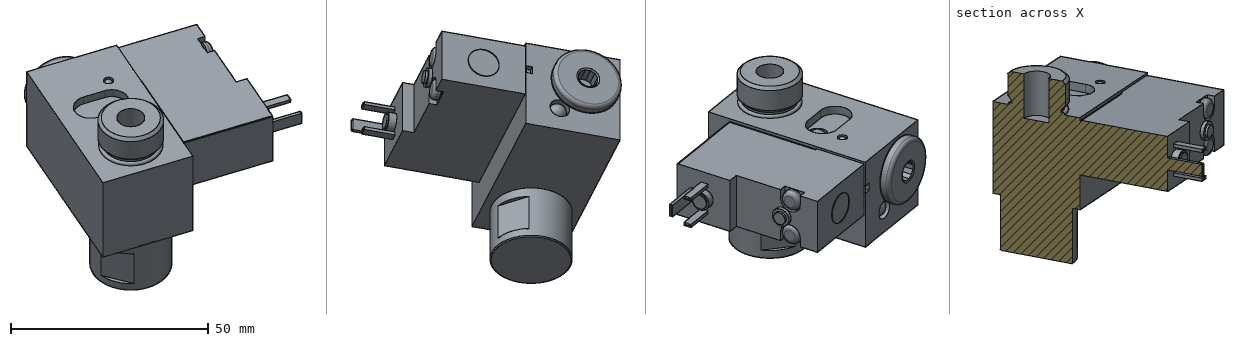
import cadquery as cq
import math

BLOCK_X, BLOCK_Y, BLOCK_Z = 47.0, 25.0, 25.0

PORT_X = 36.5
PORT_Y = BLOCK_Y / 2

FITTING_HEIGHT = 9.05
FITTING_DIA = 16.66
FITTING_TOP_DIA = 14.95
FITTING_TOP_CHAMFER_Z = 0.8
FITTING_TAPER_TOP = 2.4
FITTING_TAPER_BOTTOM = 1.1
FITTING_EMBED = 1.0
NECK_DIA = 14.2
BORE_DIA = 7.0
BORE_DEPTH = 12.0

RING_DIA = 16.35
RING_TUBE_DIA = 1.3

CAP_DIA = 20.85
CAP_HEIGHT = 15.05
CAP_CHAMFER = 0.3
FLAT_ACROSS = 18.85
FLAT_HEIGHT = 10.0
FLAT_BELOW_BLOCK = 2.6
FLAT_ANGLE = 45.0

PLUG_Y, PLUG_Z = 9.35, -9.6
PLUG_DIA = 18.0
PLUG_LENGTH = 3.0
PLUG_FILLET = 1.0
PLUG_NECK_DIA = 17.6
PLUG_NECK_LENGTH = 0.2
SOCKET_SIDES = 12
SOCKET_ACROSS_FLATS = 5.0
SOCKET_DEPTH = 4.5
SOCKET_MOUTH_DIA, SOCKET_MOUTH_DEPTH = 6.0, 0.25

SLOT_X, SLOT_Y = 19.1, 12.1
SLOT_WIDTH, SLOT_LENGTH, SLOT_DEPTH = 8.6, 14.5, 2.3
BALL_DIA = 5.0
BALL_HOLE_DIA = 5.1
SLOT_BALL_X, BALL_Y = 20.0, 16.0
SIDE_BALL_Z = -18.4
BALL_SEAT_DEPTH = 1.65
SMALL_BALL_X, SMALL_BALL_Y = 11.58, 17.55
SMALL_BALL_DIA = 2.45
SMALL_HOLE_DIA = 2.49
SMALL_SEAT_DEPTH = 1.2

VENT_Y, VENT_WIDTH, VENT_HEIGHT, VENT_DEPTH = 24.05, 1.6, 2.1, 1.5

COIL_LEFT, COIL_RIGHT = 0.4, 40.65
COIL_TOP, COIL_HEIGHT = -0.6, 15.0
COIL_MID_Z = COIL_TOP - COIL_HEIGHT / 2
COIL_LOW_Y, COIL_HIGH_Y = 47.1, 50.1
COIL_STEP_X = 24.7
RIM_WIDTH, RIM_FRONT_WIDTH, RIM_DEPTH = 0.25, 0.4, 0.2
RIM_FRONT_X = 14.7
DISC_DIA, DISC_Y, DISC_DEPTH = 8.15, 36.0, 0.2

SCREW_X, SCREW_OFFSET_Z = 8.5, 4.95
SCREW_HEAD_DIA, SCREW_CHAMFER = 5.4, 0.4
SCREW_TOP_DIA = 3.15
SCREW_HEAD_HEIGHT, SCREW_RIM_HEIGHT = 2.35, 1.1
POCKET_WIDTH, POCKET_DEPTH = 5.9, 2.05

STUD_X, STUD_DIA, STUD_HEIGHT = 10.8, 4.95, 1.0
STUD_TIP_DIA, STUD_TIP_HEIGHT = 3.4, 0.65

CONTACT_X = 32.3
BOSS_DIA, BOSS_HEIGHT = 5.1, 2.05
BOSS_TIP_DIA, BOSS_TIP_HEIGHT = 4.1, 0.4
CONTACT_WIDTH, CONTACT_THICK, CONTACT_LENGTH = 2.1, 0.9, 8.4
CONTACT_OFFSET_Z = 3.9
EARTH_X = 36.1
EARTH_WIDTH, EARTH_LENGTH = 3.4, 10.1
TIP_CHAMFER = 0.25


def box(x0, x1, y0, y1, z0, z1):
    """Axis-aligned box between two opposite corners."""
    return cq.Workplane("XY").box(x1 - x0, y1 - y0, z1 - z0, centered=False).translate((x0, y0, z0))


def rod_y(dia, length, x, y, z):
    """Round bar starting at (x, y, z) and running towards +Y."""
    return cq.Workplane(cq.Solid.makeCylinder(dia / 2, length, cq.Vector(x, y, z), cq.Vector(0, 1, 0)))


def rod_x(dia, length, x, y, z):
    """Round bar starting at (x, y, z) and running towards +X."""
    return cq.Workplane(cq.Solid.makeCylinder(dia / 2, length, cq.Vector(x, y, z), cq.Vector(1, 0, 0)))


def rod_down(dia, length, x, y, z):
    """Round bar starting at (x, y, z) and running towards -Z."""
    return cq.Workplane(cq.Solid.makeCylinder(dia / 2, length, cq.Vector(x, y, z), cq.Vector(0, 0, -1)))


def ball(dia, x, y, z):
    """Sphere centred on (x, y, z)."""
    return cq.Workplane("XY").sphere(dia / 2).translate((x, y, z))


def make_block():
    """Plain block with the ball slot and the vent."""
    block = box(0, BLOCK_X, 0, BLOCK_Y, -BLOCK_Z, 0)
    slot = (
        cq.Workplane("XY")
        .slot2D(SLOT_LENGTH, SLOT_WIDTH, 90)
        .extrude(-SLOT_DEPTH)
        .translate((SLOT_X, SLOT_Y, 0))
    )
    vent = box(
        0, VENT_DEPTH,
        VENT_Y - VENT_WIDTH / 2, VENT_Y + VENT_WIDTH / 2,
        COIL_MID_Z - VENT_HEIGHT / 2, COIL_MID_Z + VENT_HEIGHT / 2,
    )
    return block.cut(slot).cut(vent)


def add_sealing_balls(body):
    """Balls in their holes, each buried to its equator in the hole floor."""
    slot_seat_z = -SLOT_DEPTH - BALL_SEAT_DEPTH
    body = body.cut(rod_down(BALL_HOLE_DIA, BALL_SEAT_DEPTH, SLOT_BALL_X, BALL_Y, -SLOT_DEPTH))
    body = body.union(ball(BALL_DIA, SLOT_BALL_X, BALL_Y, slot_seat_z))
    body = body.cut(rod_down(SMALL_HOLE_DIA, SMALL_SEAT_DEPTH, SMALL_BALL_X, SMALL_BALL_Y, 0))
    body = body.union(ball(SMALL_BALL_DIA, SMALL_BALL_X, SMALL_BALL_Y, -SMALL_SEAT_DEPTH))
    side_seat_x = BALL_DIA / 2
    body = body.cut(rod_x(BALL_HOLE_DIA, side_seat_x, 0, BALL_Y, SIDE_BALL_Z))
    return body.union(ball(BALL_DIA, side_seat_x, BALL_Y, SIDE_BALL_Z))


def make_fitting():
    """Turned connection on the top face with its sealing ring."""
    chamfer_z = FITTING_HEIGHT - FITTING_TOP_CHAMFER_Z
    fitting = (
        cq.Workplane("XZ")
        .moveTo(0, -FITTING_EMBED)
        .lineTo(NECK_DIA / 2, -FITTING_EMBED)
        .lineTo(NECK_DIA / 2, FITTING_TAPER_BOTTOM)
        .lineTo(FITTING_DIA / 2, FITTING_TAPER_TOP)
        .lineTo(FITTING_DIA / 2, chamfer_z)
        .lineTo(FITTING_TOP_DIA / 2, FITTING_HEIGHT)
        .lineTo(0, FITTING_HEIGHT)
        .close()
        .revolve(360, (0, 0, 0), (0, 1, 0))
    )
    tube_radius = RING_TUBE_DIA / 2
    ring = cq.Workplane(cq.Solid.makeTorus(RING_DIA / 2 - tube_radius, tube_radius))
    return fitting.union(ring).translate((PORT_X, PORT_Y, 0))


def make_cap():
    """Round cap under the block with two opposite spanner flats at 45 degrees."""
    cap = cq.Workplane("XY").circle(CAP_DIA / 2).extrude(-CAP_HEIGHT).faces("<Z").chamfer(CAP_CHAMFER)
    for side in (-1, 1):
        flat = (
            cq.Workplane("XY")
            .box(CAP_DIA, CAP_DIA, FLAT_HEIGHT)
            .translate((side * (FLAT_ACROSS + CAP_DIA) / 2, 0, -FLAT_BELOW_BLOCK - FLAT_HEIGHT / 2))
            .rotate((0, 0, 0), (0, 0, 1), -FLAT_ANGLE)
        )
        cap = cap.cut(flat)
    return cap.translate((PORT_X, PORT_Y, -BLOCK_Z))


def make_plug():
    """Rounded plug head standing on a slightly narrower neck."""
    head_length = PLUG_LENGTH - PLUG_NECK_LENGTH
    head = rod_x(PLUG_DIA, head_length, -PLUG_LENGTH, PLUG_Y, PLUG_Z).faces("<X").edges().fillet(PLUG_FILLET)
    neck = rod_x(PLUG_NECK_DIA, PLUG_NECK_LENGTH, -PLUG_NECK_LENGTH, PLUG_Y, PLUG_Z)
    return head.union(neck)


def make_socket():
    """Twelve-sided key socket with a conical mouth."""
    corner_dia = SOCKET_ACROSS_FLATS / math.cos(math.pi / SOCKET_SIDES)
    prism = (
        cq.Workplane("YZ")
        .transformed(rotate=(0, 0, 180 / SOCKET_SIDES))
        .polygon(SOCKET_SIDES, corner_dia)
        .extrude(SOCKET_DEPTH)
    )
    mouth = cq.Workplane(
        cq.Solid.makeCone(
            SOCKET_MOUTH_DIA / 2,
            SOCKET_ACROSS_FLATS / 2,
            SOCKET_MOUTH_DEPTH,
            cq.Vector(0, 0, 0),
            cq.Vector(1, 0, 0),
        )
    )
    return prism.union(mouth).translate((-PLUG_LENGTH, PLUG_Y, PLUG_Z))


def make_coil():
    """Stepped coil housing with a lowered rim and a shallow round recess."""
    coil = (
        cq.Workplane("XY")
        .moveTo(COIL_LEFT, BLOCK_Y)
        .lineTo(COIL_RIGHT, BLOCK_Y)
        .lineTo(COIL_RIGHT, COIL_HIGH_Y)
        .lineTo(COIL_STEP_X, COIL_HIGH_Y)
        .lineTo(COIL_STEP_X, COIL_LOW_Y)
        .lineTo(COIL_LEFT, COIL_LOW_Y)
        .close()
        .extrude(-COIL_HEIGHT)
        .translate((0, 0, COIL_TOP))
    )
    rim_z = COIL_TOP - RIM_DEPTH
    coil = coil.cut(box(COIL_RIGHT - RIM_WIDTH, COIL_RIGHT, BLOCK_Y, COIL_HIGH_Y, rim_z, COIL_TOP))
    coil = coil.cut(box(RIM_FRONT_X, COIL_RIGHT, BLOCK_Y, BLOCK_Y + RIM_FRONT_WIDTH, rim_z, COIL_TOP))
    return coil.cut(rod_x(DISC_DIA, DISC_DEPTH, COIL_LEFT, DISC_Y, COIL_MID_Z))


def make_screw():
    """Raised-head cover screw along +Y, standing on y = 0."""
    head_radius = SCREW_HEAD_DIA / 2
    top_radius = SCREW_TOP_DIA / 2
    shoulder_mid = (
        top_radius + (head_radius - top_radius) * math.cos(math.pi / 4),
        SCREW_RIM_HEIGHT + (SCREW_HEAD_HEIGHT - SCREW_RIM_HEIGHT) * math.sin(math.pi / 4),
    )
    return (
        cq.Workplane("XY")
        .lineTo(head_radius - SCREW_CHAMFER, 0)
        .lineTo(head_radius, SCREW_CHAMFER)
        .lineTo(head_radius, SCREW_RIM_HEIGHT)
        .threePointArc(shoulder_mid, (top_radius, SCREW_HEAD_HEIGHT))
        .lineTo(0, SCREW_HEAD_HEIGHT)
        .close()
        .revolve(360, (0, 0, 0), (0, 1, 0))
    )


def add_cover_screws(coil):
    """One screw near the top edge and one near the bottom edge, in open-sided pockets."""
    pocket_y = COIL_LOW_Y - POCKET_DEPTH
    half = POCKET_WIDTH / 2
    for side in (-1, 1):
        screw_z = COIL_MID_Z + side * SCREW_OFFSET_Z
        outer_z = COIL_MID_Z + side * COIL_HEIGHT / 2
        coil = coil.cut(rod_y(POCKET_WIDTH, POCKET_DEPTH, SCREW_X, pocket_y, screw_z))
        coil = coil.cut(
            box(
                SCREW_X - half, SCREW_X + half, pocket_y, COIL_LOW_Y,
                min(screw_z, outer_z), max(screw_z, outer_z),
            )
        )
        coil = coil.union(make_screw().translate((SCREW_X, pocket_y, screw_z)))
    return coil


def make_contact(size_x, length, size_z):
    """Flat contact along +Y, standing on y = 0, with a chamfered tip."""
    return (
        cq.Workplane("XY")
        .box(size_x, length, size_z, centered=(True, False, True))
        .faces(">Y")
        .chamfer(TIP_CHAMFER)
    )


def make_end_fittings():
    """Everything that stands on the two end faces of the coil."""
    parts = rod_y(STUD_DIA, STUD_HEIGHT, STUD_X, COIL_LOW_Y, COIL_MID_Z)
    stud_length = STUD_HEIGHT + STUD_TIP_HEIGHT
    parts = parts.union(rod_y(STUD_TIP_DIA, stud_length, STUD_X, COIL_LOW_Y, COIL_MID_Z))
    parts = parts.union(rod_y(BOSS_DIA, BOSS_HEIGHT, CONTACT_X, COIL_HIGH_Y, COIL_MID_Z))
    boss_length = BOSS_HEIGHT + BOSS_TIP_HEIGHT
    parts = parts.union(rod_y(BOSS_TIP_DIA, boss_length, CONTACT_X, COIL_HIGH_Y, COIL_MID_Z))
    for side in (-1, 1):
        contact = make_contact(CONTACT_WIDTH, CONTACT_LENGTH, CONTACT_THICK)
        contact_z = COIL_MID_Z + side * CONTACT_OFFSET_Z
        parts = parts.union(contact.translate((CONTACT_X, COIL_HIGH_Y, contact_z)))
    earth = make_contact(CONTACT_THICK, EARTH_LENGTH, EARTH_WIDTH)
    return parts.union(earth.translate((EARTH_X, COIL_HIGH_Y, COIL_MID_Z)))


valve = add_sealing_balls(make_block())
valve = valve.union(make_fitting()).union(make_cap()).union(make_plug())
valve = valve.cut(rod_down(BORE_DIA, BORE_DEPTH, PORT_X, PORT_Y, FITTING_HEIGHT))
valve = valve.cut(make_socket())
coil = add_cover_screws(make_coil())
result = valve.union(coil).union(make_end_fittings())